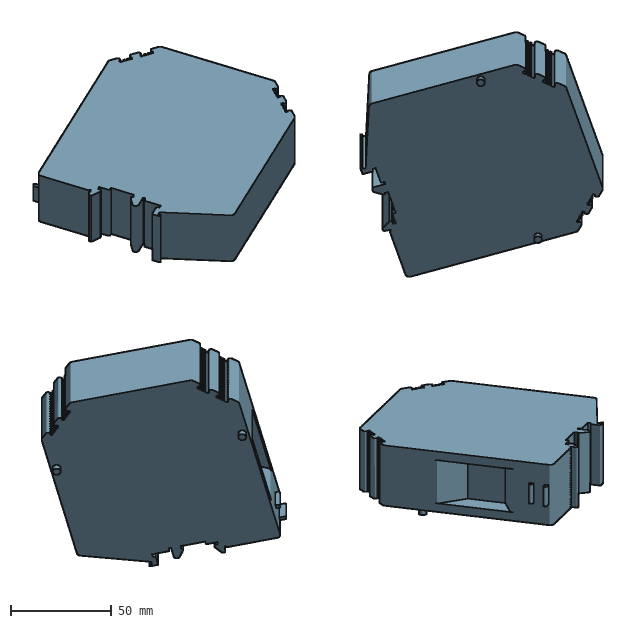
import cadquery as cq
import math

width = 101.3
length = 111.8
thickness = 32.0
corner_chamfer = 19.6
body_radius = 2.0
toe_radius = 2.5
slant_angle = 20.0

foot_level = 3.0
seat_level = 7.3
recess_level = 9.0
foot_radius = 0.8
claw_radius = 0.5
slant_start = (66.6, 2.7)

notch_offset = 5.6
notch_depth = 3.0
notch_half_width = 3.2
mouth_half_width = 2.7
lip_depth = 2.0
mouth_radius = 1.2
tooth_offset = 0.95
tooth_width = 0.9
tooth_height = 0.8

pocket_depth = 11.6
pocket_floor_start = 32.0
pocket_floor_end = 51.8
pocket_steep_angle = 60.0
pocket_steep_radius = 2.0
pocket_gentle_angle = 45.0
pocket_gentle_radius = 2.7
pocket_height = 22.8

tabs = [
    (5.0, 1.9, 3.5),
    (12.9, 2.1, 2.2),
]
tab_bottom = 11.0
tab_height = 10.3

peg_diameter = 3.9
peg_length = 3.0
peg_inset = 3.1
peg_y = 72.6


def make_housing():
    slant_rise = (width - slant_start[0]) * math.tan(math.radians(slant_angle))
    toe = (width, slant_start[1] + slant_rise)
    heel = (0, foot_level)
    hook_tip = (29.2, 0)
    claw_inner_corner = (63.6, 0)
    claw_outer_corner = (68.1, 0)
    channel_left_corner = (37.5, seat_level)
    channel_right_corner = (56.0, seat_level)
    upper_corners = [
        (width, length - corner_chamfer), (width - corner_chamfer, length),
        (corner_chamfer, length), (0, length - corner_chamfer),
    ]

    left_hook = [
        (28.0, foot_level), (28.0, 3.4), (28.7, 3.8), hook_tip,
        (30.7, 0), (33.7, 4.6), (33.7, 5.5), (33.1, 5.9), (31.8, 5.9), (31.8, seat_level),
    ]
    spring_leg = [
        (49.6, recess_level), (50.0, 8.7), (50.0, 7.5), (49.2, 7.2), (49.2, 6.4), (52.0, 2.5),
    ]
    spring_tip_middle = (53.1, 1.9)
    spring_tip_end = (54.9, 3.2)
    spring_back = (spring_tip_end[0], recess_level)
    right_claw = [
        (65.1, seat_level), (65.1, 5.8), (63.6, 5.3), claw_inner_corner, claw_outer_corner,
        (68.1, 0.7), (67.8, 1.1), (slant_start[0], 1.1), slant_start,
    ]

    before_spring_tip = (
        left_hook + [channel_left_corner, (channel_left_corner[0], recess_level)] + spring_leg
    )
    after_spring_tip = (
        [spring_back, (channel_right_corner[0], recess_level), channel_right_corner]
        + right_claw + [toe] + upper_corners
    )
    outline = cq.Workplane("XY").moveTo(*heel)
    for point in before_spring_tip:
        outline = outline.lineTo(*point)
    outline = outline.threePointArc(spring_tip_middle, spring_tip_end)
    for point in after_spring_tip:
        outline = outline.lineTo(*point)
    housing = outline.close().extrude(thickness)

    rounded_corners = [(corner, body_radius) for corner in [heel] + upper_corners]
    rounded_corners += [
        (toe, toe_radius),
        (hook_tip, foot_radius),
        (channel_left_corner, foot_radius),
        (channel_right_corner, foot_radius),
        (claw_inner_corner, claw_radius),
        (claw_outer_corner, claw_radius),
    ]
    for (x, y), radius in rounded_corners:
        housing = fillet_upright_edge(housing, x, y, radius)
    return housing


def fillet_upright_edge(body, x, y, radius):
    """Round the edge parallel to Z that passes through (x, y)."""
    reach = 0.1
    selector = cq.selectors.BoxSelector(
        (x - reach, y - reach, 0), (x + reach, y + reach, thickness)
    )
    return body.edges("|Z").edges(selector).fillet(radius)


def make_notch_cutter():
    """Undercut notch with a rounded mouth and two teeth; the surface is at Y = 0."""
    arc_side = mouth_radius * (1 - math.sqrt(0.5))
    mouth_edge = mouth_half_width + mouth_radius
    cutter = (
        cq.Workplane("XY")
        .moveTo(-mouth_edge, 0)
        .threePointArc(
            (-mouth_half_width - arc_side, -arc_side), (-mouth_half_width, -mouth_radius)
        )
        .lineTo(-mouth_half_width, -lip_depth)
        .lineTo(-notch_half_width, -lip_depth)
        .lineTo(-notch_half_width, -notch_depth)
        .lineTo(notch_half_width, -notch_depth)
        .lineTo(notch_half_width, -lip_depth)
        .lineTo(mouth_half_width, -lip_depth)
        .lineTo(mouth_half_width, -mouth_radius)
        .threePointArc((mouth_half_width + arc_side, -arc_side), (mouth_edge, 0))
        .close()
        .extrude(thickness)
    )
    teeth = (
        cq.Workplane("XY")
        .pushPoints([(side * tooth_offset, tooth_height / 2 - notch_depth) for side in (-1, 1)])
        .rect(tooth_width, tooth_height)
        .extrude(thickness)
    )
    return cutter.cut(teeth)


def cut_notches(body):
    notch = make_notch_cutter()
    chamfer_middle_y = length - corner_chamfer / 2
    corners = [(corner_chamfer / 2, 45), (width - corner_chamfer / 2, -45)]
    for chamfer_middle_x, turn in corners:
        for offset in (-notch_offset, notch_offset):
            placed = (
                notch.translate((offset, 0, 0))
                .rotate((0, 0, 0), (0, 0, 1), turn)
                .translate((chamfer_middle_x, chamfer_middle_y, 0))
            )
            body = body.cut(placed)
    return body


def cut_pocket(body):
    steep_run = pocket_depth / math.tan(math.radians(pocket_steep_angle))
    gentle_run = pocket_depth / math.tan(math.radians(pocket_gentle_angle))
    rim_start = pocket_floor_start - steep_run
    rim_end = pocket_floor_end + gentle_run
    pocket = (
        cq.Workplane("XY", origin=(0, 0, (thickness - pocket_height) / 2))
        .polyline([
            (0, rim_start),
            (pocket_depth, pocket_floor_start),
            (pocket_depth, pocket_floor_end),
            (0, rim_end),
        ])
        .close()
        .extrude(pocket_height)
    )
    body = body.cut(pocket)
    body = fillet_upright_edge(body, 0, rim_start, pocket_steep_radius)
    return fillet_upright_edge(body, 0, rim_end, pocket_gentle_radius)


def add_tabs(body):
    """Add tabs with a full round end; the other half of each slot lies inside the body."""
    for lower_edge, tab_thickness, reach in tabs:
        tab = (
            cq.Workplane("XY", origin=(0, lower_edge + tab_thickness / 2, tab_bottom))
            .slot2D(2 * reach, tab_thickness)
            .extrude(tab_height)
        )
        body = body.union(tab)
    return body


def add_pegs(body):
    pegs = (
        cq.Workplane("XY")
        .pushPoints([(peg_inset, peg_y), (width - peg_inset, peg_y)])
        .circle(peg_diameter / 2)
        .extrude(-peg_length)
    )
    return body.union(pegs)


housing = make_housing()
housing = cut_notches(housing)
housing = cut_pocket(housing)
housing = add_tabs(housing)
result = add_pegs(housing)